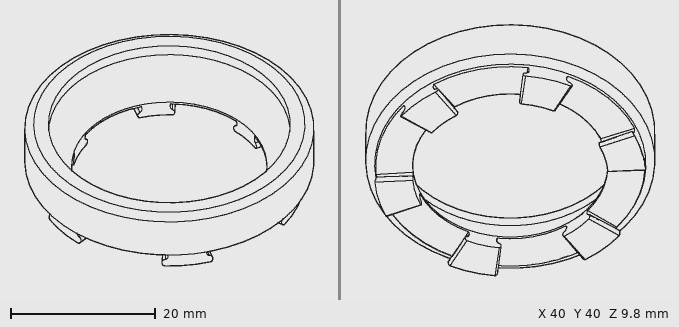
import cadquery as cq

outer_radius = 20.0
chamfered_radius = 18.75
bore_radius = 16.7
throat_radius = 13.5
height = 9.8
chamfer_height = 0.7
lip_bottom = 1.95
lip_height = 0.35
lip_top = lip_bottom + lip_height
bore_depth = 1.6
bore_bottom = height - bore_depth
bowl_mid_radius = 15.3
bowl_mid_height = 5.1

foot_count = 6
foot_top_half_width = 7.2
waist_half_width = 6.8
waist_height = 1.45
flank_half_width = 7.8
flank_height = 0.95
toe_half_width = 9.0
toe_height = 0.5
base_half_width = 8.1

groove_depth = 0.3
groove_height = lip_top / 2

foot_start_radius = 12.0
foot_end_radius = outer_radius
foot_width_radius = 46.0


def revolve_about_z(profile):
    """Revolve a closed XZ profile a full turn about the ring axis."""
    return profile.revolve(360, (0, 0, 0), (0, 1, 0))


def make_ring():
    """Chamfered ring with a straight bore above a curved bowl."""
    return revolve_about_z(
        cq.Workplane("XZ")
        .moveTo(throat_radius, lip_top)
        .lineTo(chamfered_radius, lip_top)
        .lineTo(outer_radius, lip_top + chamfer_height)
        .lineTo(outer_radius, height - chamfer_height)
        .lineTo(chamfered_radius, height)
        .lineTo(bore_radius, height)
        .lineTo(bore_radius, bore_bottom)
        .threePointArc((bowl_mid_radius, bowl_mid_height), (throat_radius, lip_top))
        .close()
    )


def make_skirt():
    """Annulus with a concave outer wall, from which the lip and feet are cut."""
    return revolve_about_z(
        cq.Workplane("XZ")
        .moveTo(throat_radius, 0)
        .lineTo(chamfered_radius, 0)
        .threePointArc((chamfered_radius - groove_depth, groove_height), (chamfered_radius, lip_top))
        .lineTo(throat_radius, lip_top)
        .close()
    )


def draw_foot_section(workplane, radius):
    """Waisted foot section, with widths proportional to the distance from the axis."""
    scale = radius / foot_width_radius
    top = foot_top_half_width * scale
    waist = waist_half_width * scale
    flank = flank_half_width * scale
    toe = toe_half_width * scale
    base = base_half_width * scale
    return (
        workplane
        .moveTo(-base, 0)
        .lineTo(base, 0)
        .threePointArc((toe, toe_height), (flank, flank_height))
        .threePointArc((waist, waist_height), (top, lip_bottom))
        .lineTo(-top, lip_bottom)
        .threePointArc((-waist, waist_height), (-flank, flank_height))
        .threePointArc((-toe, toe_height), (-base, 0))
        .close()
    )


def make_foot_blank():
    """Radially tapered foot pointing along -Y."""
    inner = draw_foot_section(cq.Workplane("XZ").workplane(offset=foot_start_radius), foot_start_radius)
    outer_plane = inner.workplane(offset=foot_end_radius - foot_start_radius)
    return draw_foot_section(outer_plane, foot_end_radius).loft(ruled=True)


def make_lip_and_feet():
    """Lip and evenly spaced feet, trimmed together so they share one outer wall."""
    blank = cq.Workplane("XY").workplane(offset=lip_bottom).circle(outer_radius).extrude(lip_height)
    foot = make_foot_blank()
    for index in range(foot_count):
        blank = blank.union(foot.rotate((0, 0, 0), (0, 0, 1), index * 360 / foot_count))
    return make_skirt().intersect(blank)


result = make_ring().union(make_lip_and_feet())